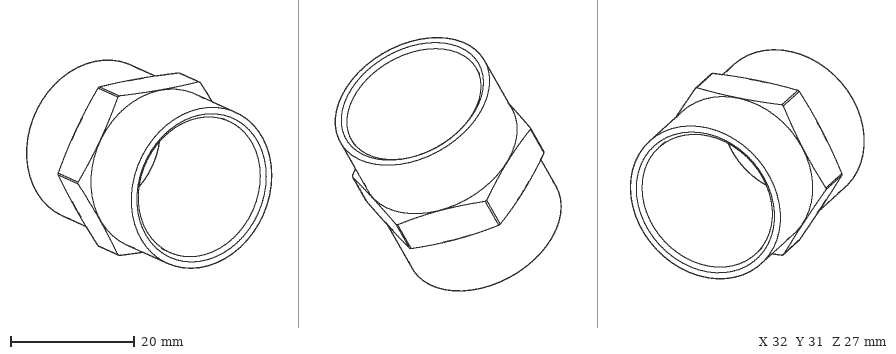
import cadquery as cq
import math

length = 32.0
sleeve_diameter = 26.9
bore_diameter = 23.35
bore_mouth_diameter = 24.77
hex_across_flats = 27.0
hex_across_corners = 31.0
hex_width = 7.35
hex_bevel_width = 0.65

hex_start = (length - hex_width) / 2
hex_end = hex_start + hex_width
sharp_corner_diameter = hex_across_flats / math.cos(math.pi / 6)
mouth_depth = (bore_mouth_diameter - bore_diameter) / 2


def revolved(profile):
    """Revolve a closed (x, radius) outline about the X axis."""
    return cq.Workplane("XY").polyline(profile).close().revolve(360, (0, 0, 0), (1, 0, 0))


def make_sleeve():
    return cq.Workplane("YZ").circle(sleeve_diameter / 2).extrude(length)


def make_hexagon():
    """Hexagon with corners on Y, rounded and beveled by a turned envelope."""
    prism = (
        cq.Workplane("YZ")
        .workplane(offset=hex_start)
        .polygon(6, sharp_corner_diameter)
        .extrude(hex_width)
    )
    face_radius = sleeve_diameter / 2
    corner_radius = hex_across_corners / 2
    envelope = revolved([
        (hex_start, 0),
        (hex_start, face_radius),
        (hex_start + hex_bevel_width, corner_radius),
        (hex_end - hex_bevel_width, corner_radius),
        (hex_end, face_radius),
        (hex_end, 0),
    ])
    return prism.intersect(envelope)


def make_bore():
    """Through bore with a countersunk mouth at each end."""
    bore_radius = bore_diameter / 2
    mouth_radius = bore_mouth_diameter / 2
    return revolved([
        (0, 0),
        (0, mouth_radius),
        (mouth_depth, bore_radius),
        (length - mouth_depth, bore_radius),
        (length, mouth_radius),
        (length, 0),
    ])


result = make_sleeve().union(make_hexagon()).cut(make_bore())